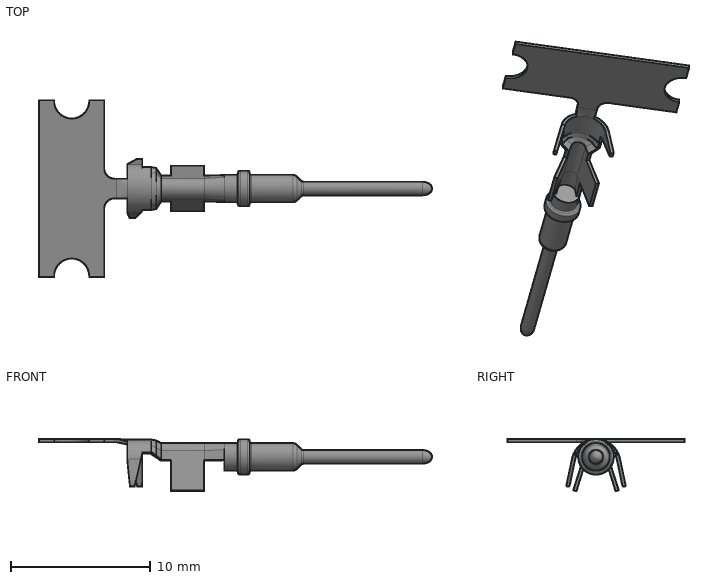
import cadquery as cq
import math

sheet = 0.25

strip_width = 4.7
strip_length = 12.7
strip_top = 1.3
notch_radius = 1.25
notch_inset = 0.07

neck_half_width = 0.72
neck_fillet = 0.7
neck_flat_end = 5.55

insulation_start = 6.32
insulation_end = 8.07
insulation_radius = 1.77
insulation_top = 1.26
insulation_rim = 29
insulation_crease = 50
leg_lean = 12
leg_end_x = 7.43
leg_tip_width = 0.32
leg_bottom = -2.14
front_leg_tip_x = 6.53
rear_leg_tip_x = 7.09

funnel_knee_x = 8.4
funnel_knee_blend = 0.3

wire_start = 8.77
wing_start = 9.46
wire_end = 11.85
wire_radius = 0.766
wire_top = 1.0
wing_lean = 17.6
wall_bottom = -0.21
wing_bottom = -2.47

barrel_start = 13.28
barrel_radius = 1.0
barrel_crease = 33
flange_start = 14.27
flange_end = 15.12
flange_radius = 1.28
flange_round = 0.16
flange_root_fillet = 0.1
nose_start = 18.375
nose_round = 0.4
nose_root_fillet = 0.2
pin_radius = 0.5
pin_tip_start = 27.5
pin_end = 28.2


def polar(radius, degrees, center_z=0.0):
    """Point (Y, Z) on a circle centred on Y = 0."""
    angle = math.radians(degrees)
    return radius * math.cos(angle), center_z + radius * math.sin(angle)


def mirrored(point):
    return -point[0], point[1]


def side_length(radius, top, crease, lean, foot_z):
    """Length of a straight side from the crease down to its outer foot."""
    crease_z = polar(radius, crease, top - radius)[1]
    return (crease_z - foot_z) / math.cos(math.radians(lean))


def arch(radius, top, crease, lean, length, rounded=False):
    """YZ points of an arch with straight sides: an arc from crease to crease through the crown
    height `top`, then sides of the given lean and length below the creases."""
    center_z = top - radius
    angle = math.radians(lean)
    outer = polar(radius, crease, center_z)
    inner = polar(radius - sheet, crease, center_z)
    foot = (outer[0] + length * math.sin(angle), outer[1] - length * math.cos(angle))
    heel = (foot[0] - sheet * math.cos(angle), foot[1] - sheet * math.sin(angle))
    toe = (
        (foot[0] + heel[0] + sheet * math.sin(angle)) / 2,
        (foot[1] + heel[1] - sheet * math.cos(angle)) / 2,
    )
    return {
        "outer": outer, "inner": inner, "foot": foot, "heel": heel,
        "toe": toe if rounded else None, "top": top,
    }


def draw_arch(plane, section):
    """Closed outline of an arch section on a YZ workplane."""
    outer, inner, toe = section["outer"], section["inner"], section["toe"]
    foot, heel, top = section["foot"], section["heel"], section["top"]
    outline = plane.moveTo(*mirrored(foot)).lineTo(*mirrored(outer))
    outline = outline.threePointArc((0, top), outer).lineTo(*foot)
    outline = outline.threePointArc(toe, heel) if toe else outline.lineTo(*heel)
    outline = outline.lineTo(*inner).threePointArc((0, top - sheet), mirrored(inner)).lineTo(*mirrored(heel))
    if toe:
        outline = outline.threePointArc(mirrored(toe), mirrored(foot))
    return outline.close()


def extrude_arch(section, start, end):
    return draw_arch(cq.Workplane("YZ", origin=(start, 0, 0)), section).extrude(end - start)


def loft_arches(stations):
    """Ruled loft through (x, section) pairs."""
    wires = [draw_arch(cq.Workplane("YZ", origin=(x, 0, 0)), section).val() for x, section in stations]
    return cq.Workplane(cq.Solid.makeLoft(wires, True))


def make_strip():
    blank = cq.Workplane("XY", origin=(0, 0, strip_top - sheet))
    strip = blank.center(strip_width / 2, 0).rect(strip_width, strip_length).extrude(sheet)
    neck_length = neck_flat_end - strip_width
    neck = blank.center(strip_width + neck_length / 2, 0).rect(neck_length, 2 * neck_half_width).extrude(sheet)
    corners = cq.selectors.BoxSelector(
        (strip_width - sheet, -2 * neck_half_width, 0), (strip_width + sheet, 2 * neck_half_width, strip_top)
    )
    strip = strip.union(neck).edges("|Z").edges(corners).fillet(neck_fillet)
    notch_y = strip_length / 2 - notch_inset
    notches = blank.pushPoints([(strip_width / 2, -notch_y), (strip_width / 2, notch_y)])
    return strip.cut(notches.circle(notch_radius).extrude(sheet))


def draw_insulation_band(x, edge_angle):
    """Crown of the insulation arch at X, down to an edge angle above horizontal on both sides."""
    center_z = insulation_top - insulation_radius
    outer = polar(insulation_radius, edge_angle, center_z)
    inner = polar(insulation_radius - sheet, edge_angle, center_z)
    return (
        cq.Workplane("YZ", origin=(x, 0, 0))
        .moveTo(*mirrored(outer))
        .threePointArc((0, insulation_top), outer)
        .lineTo(*inner)
        .threePointArc((0, insulation_top - sheet), mirrored(inner))
        .close()
    )


def make_neck_bend():
    """Curls the flat neck into the crown of the insulation arch."""
    flat = (
        cq.Workplane("YZ", origin=(neck_flat_end, 0, 0))
        .moveTo(-neck_half_width, strip_top)
        .lineTo(neck_half_width, strip_top)
        .lineTo(neck_half_width, strip_top - sheet)
        .lineTo(-neck_half_width, strip_top - sheet)
        .close()
    )
    edge_angle = math.degrees(math.acos(neck_half_width / insulation_radius))
    curled = draw_insulation_band(insulation_start, edge_angle)
    return cq.Workplane(cq.Solid.makeLoft([flat.val(), curled.val()], True))


def make_leg(section, side, tip_start):
    """One pointed leg of the insulation crimp; side is -1 for -Y and +1 for +Y."""
    crease_z = section["outer"][1]
    rim_z = polar(insulation_radius, insulation_rim, insulation_top - insulation_radius)[1]
    trim_bottom = leg_bottom - sheet / 4
    outline = [
        (insulation_start, insulation_top),
        (insulation_start, crease_z),
        (tip_start, trim_bottom),
        (tip_start + leg_tip_width, trim_bottom),
        (leg_end_x, rim_z),
        (leg_end_x, insulation_top),
    ]
    keep = cq.Workplane("XZ").polyline(outline).close().extrude(-side * strip_length / 2)
    return extrude_arch(section, insulation_start, leg_end_x).intersect(keep)


def make_crimps():
    rim_drop = insulation_crease - insulation_rim
    insulation_shape = (
        insulation_radius,
        insulation_top,
        insulation_crease,
        (insulation_crease + insulation_rim) / 2,
        2 * insulation_radius * math.sin(math.radians(rim_drop / 2)),
    )
    wire_outline = (wire_radius, wire_top, wing_lean, wing_lean)
    wire_shape = (*wire_outline, side_length(*wire_outline, wall_bottom))
    knee_shape = [
        wide + funnel_knee_blend * (narrow - wide)
        for wide, narrow in zip(insulation_shape, wire_shape)
    ]
    barrel_foot = math.degrees(math.asin(wall_bottom / barrel_radius))
    barrel_lean = (barrel_crease + barrel_foot) / 2
    barrel_outline = (barrel_radius, barrel_radius, barrel_crease, barrel_lean)
    barrel_shape = (*barrel_outline, side_length(*barrel_outline, wall_bottom))

    leg_outline = (insulation_radius, insulation_top, leg_lean, leg_lean)
    leg_foot = leg_bottom + sheet / 2 * (1 + math.sin(math.radians(leg_lean)))
    legs = arch(*leg_outline, side_length(*leg_outline, leg_foot), rounded=True)
    wing_foot = wing_bottom + sheet * math.sin(math.radians(wing_lean))
    wings = arch(*wire_outline, side_length(*wire_outline, wing_foot))

    insulation, knee, wire, barrel = [
        arch(*shape) for shape in (insulation_shape, knee_shape, wire_shape, barrel_shape)
    ]
    return (
        draw_insulation_band(insulation_start, insulation_rim)
        .extrude(insulation_end - insulation_start)
        .union(make_leg(legs, -1, front_leg_tip_x))
        .union(make_leg(legs, 1, rear_leg_tip_x))
        .union(loft_arches([(insulation_end, insulation), (funnel_knee_x, knee), (wire_start, wire)]))
        .union(extrude_arch(wire, wire_start, wire_end))
        .union(extrude_arch(wings, wing_start, wire_end))
        .union(loft_arches([(wire_end, wire), (barrel_start, barrel)]))
    )


def ring_at(x, radius):
    """Selector for the circular edge of that radius around the pin axis."""
    margin = sheet / 10
    reach = radius + margin
    return cq.selectors.BoxSelector(
        (x - margin, -reach, -reach), (x + margin, reach, reach), boundingbox=True
    )


def make_pin():
    nose_end = nose_start + barrel_radius - pin_radius
    half_section = (
        cq.Workplane("XZ")
        .moveTo(barrel_start, 0)
        .lineTo(barrel_start, barrel_radius)
        .lineTo(flange_start, barrel_radius)
        .lineTo(flange_start, flange_radius)
        .lineTo(flange_end, flange_radius)
        .lineTo(flange_end, barrel_radius)
        .lineTo(nose_start, barrel_radius)
        .lineTo(nose_end, pin_radius)
        .lineTo(pin_tip_start, pin_radius)
        .lineTo(pin_tip_start, 0)
        .close()
    )
    pin = half_section.revolve(360, (0, 0, 0), (1, 0, 0))
    for x in (flange_start, flange_end):
        pin = pin.edges(ring_at(x, barrel_radius)).fillet(flange_root_fillet)
        pin = pin.edges(ring_at(x, flange_radius)).fillet(flange_round)
    pin = pin.edges(ring_at(nose_start, barrel_radius)).fillet(nose_round)
    pin = pin.edges(ring_at(nose_end, pin_radius)).fillet(nose_root_fillet)
    tip = (
        cq.Workplane("XZ", origin=(pin_tip_start, 0, 0))
        .lineTo(0, pin_radius)
        .ellipseArc(pin_end - pin_tip_start, pin_radius, 0, 90, startAtCurrent=True, sense=-1)
        .close()
        .revolve(360, (0, 0, 0), (1, 0, 0))
    )
    return pin.union(tip)


result = make_strip().union(make_neck_bend()).union(make_crimps()).union(make_pin())